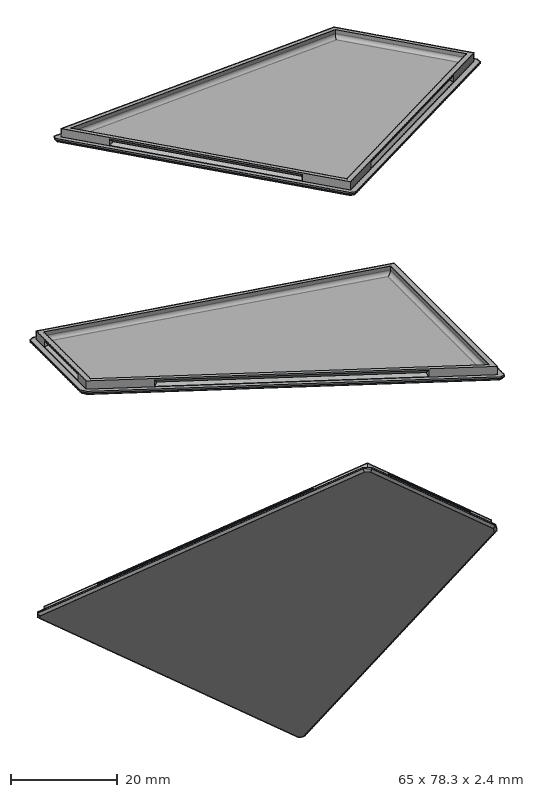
import cadquery as cq
import math

length = 78.35
wide_half = 32.7
narrow_half = 16.1
corner_chamfer = 1.0
height = 2.4
flange_thickness = 0.8
flange_chamfer = 0.5

rim_inset = 1.25
rim_thickness = 1.2
floor_thickness = 0.8
floor_fillet = 0.9

groove_depth = 0.6
groove_half_height = 0.6
groove_end_run = 0.5
groove_share = 2 / 3
groove_level = 1.5

side_slope = (wide_half - narrow_half) / length
slant_factor = math.hypot(1, side_slope)


def trapezoid_points(inset):
    """Corners, counter-clockwise, of the flange outline moved inwards by inset."""
    half_length = length / 2 - inset
    middle_half = (wide_half + narrow_half) / 2 - inset * slant_factor
    wide = middle_half + side_slope * half_length
    narrow = middle_half - side_slope * half_length
    return [(-wide, -half_length), (wide, -half_length), (narrow, half_length), (-narrow, half_length)]


def trapezoid_prism(inset, bottom, top):
    outline = cq.Workplane("XY").workplane(offset=bottom).polyline(trapezoid_points(inset)).close()
    return outline.extrude(top - bottom)


def snap_groove(start, end):
    """V-shaped cutter with sloping ends, centred on the rim side that runs from start to end."""
    run_x = end[0] - start[0]
    run_y = end[1] - start[1]
    side_length = math.hypot(run_x, run_y)
    mouth_half = side_length * groove_share / 2
    root_half = mouth_half - groove_end_run
    outward = (run_y, -run_x, 0)
    middle = ((start[0] + end[0]) / 2, (start[1] + end[1]) / 2, groove_level)
    section = cq.Plane(origin=middle, xDir=outward, normal=(-run_x, -run_y, 0))
    profile = [(0, -groove_half_height), (-groove_depth, 0), (0, groove_half_height)]
    wedge = cq.Workplane(section).polyline(profile).close().extrude(mouth_half, both=True)
    plan = cq.Plane(origin=middle, xDir=outward, normal=(0, 0, 1))
    limits = [(0, -mouth_half), (0, mouth_half), (-groove_depth, root_half), (-groove_depth, -root_half)]
    limiter = cq.Workplane(plan).polyline(limits).close().extrude(groove_half_height, both=True)
    return wedge.intersect(limiter)


flange = trapezoid_prism(0, 0, flange_thickness).edges("|Z").chamfer(corner_chamfer)
flange = flange.faces("<Z").edges().chamfer(flange_chamfer)

rim = trapezoid_prism(rim_inset, flange_thickness, height)
tray = trapezoid_prism(rim_inset + rim_thickness, floor_thickness, height)
tray = tray.faces("<Z").edges().fillet(floor_fillet)

result = flange.union(rim).cut(tray)

rim_corners = trapezoid_points(rim_inset)
for index, corner in enumerate(rim_corners):
    next_corner = rim_corners[(index + 1) % len(rim_corners)]
    result = result.cut(snap_groove(corner, next_corner))